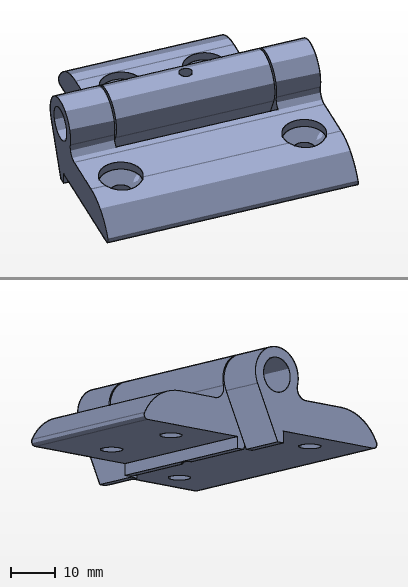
import cadquery as cq
import math


WIDE_LENGTH = 60.0
NARROW_LENGTH = 38.0
POCKET_LENGTH = 38.8

BARREL_RADIUS = 6.4
BORE_DIAMETER = 8.0
PLATE_BOTTOM = -12.65
PLATE_THICKNESS = 8.0
PLATE_TOP = PLATE_BOTTOM + PLATE_THICKNESS
FOOT_HEIGHT = 2.7
FOOT_BOTTOM = PLATE_BOTTOM - FOOT_HEIGHT
FOOT_SIDE = 2.0
TIP_OFFSET = 0.25
NECK_RADIUS = 2.5
EDGE_START = 19.2
EDGE_RADIUS = 12.0
RIM_RADIUS = 1.0

WALL_BOTTOM_X = 4.85
WALL_TOP_X = 7.25
WALL_TOP_Z = -4.25

SCREW_DIAMETER = 5.0
HEAD_DIAMETER = 10.0
HEAD_DEPTH = 2.0
WIDE_SCREW_X = 17.0
WIDE_SCREW_SPACING = 44.0
NARROW_SCREW_X = 14.0
NARROW_SCREW_SPACING = 20.0
LOCK_DIAMETER = 3.0

CLEAR = 0.6


def point_at(center, radius, angle):
    """Point on a circle in the XZ section, angle in radians from +X."""
    return (center[0] + radius * math.cos(angle), center[1] + radius * math.sin(angle))


def leaf_blank(length):
    """Leaf with a full-length knuckle and its plate towards +X, centred on Y."""
    axis = (0, 0)

    tip = (TIP_OFFSET, FOOT_BOTTOM)
    tip_angle = math.atan2(tip[1], tip[0])
    tangent_angle = tip_angle - math.acos(BARREL_RADIUS / math.hypot(*tip))

    neck_z = PLATE_TOP + NECK_RADIUS
    neck_x = math.sqrt((BARREL_RADIUS + NECK_RADIUS) ** 2 - neck_z ** 2)
    neck = (neck_x, neck_z)
    neck_angle = math.atan2(neck_z, neck_x)
    neck_mid_angle = ((neck_angle - math.pi) - math.pi / 2) / 2

    edge = (EDGE_START, PLATE_TOP - EDGE_RADIUS)
    rim_rise = PLATE_BOTTOM + RIM_RADIUS - edge[1]
    rim_angle = math.asin(rim_rise / (EDGE_RADIUS - RIM_RADIUS))
    rim = point_at(edge, EDGE_RADIUS - RIM_RADIUS, rim_angle)

    return (
        cq.Workplane("XZ")
        .moveTo(*tip)
        .lineTo(*point_at(axis, BARREL_RADIUS, tangent_angle))
        .threePointArc((0, BARREL_RADIUS), point_at(axis, BARREL_RADIUS, neck_angle))
        .threePointArc(point_at(neck, NECK_RADIUS, neck_mid_angle), (neck_x, PLATE_TOP))
        .lineTo(EDGE_START, PLATE_TOP)
        .threePointArc(
            point_at(edge, EDGE_RADIUS, (rim_angle + math.pi / 2) / 2),
            point_at(edge, EDGE_RADIUS, rim_angle),
        )
        .threePointArc(
            point_at(rim, RIM_RADIUS, (rim_angle - math.pi / 2) / 2),
            (rim[0], PLATE_BOTTOM),
        )
        .lineTo(FOOT_SIDE, PLATE_BOTTOM)
        .lineTo(FOOT_SIDE, FOOT_BOTTOM)
        .close()
        .extrude(length / 2, both=True)
    )


def bore(length):
    """Cutter for the pin bore."""
    return cq.Workplane("XZ").circle(BORE_DIAMETER / 2).extrude(length / 2 + CLEAR, both=True)


def knuckle_pocket():
    """Cutter that opens the middle of the wide leaf for the other knuckle."""
    far_side = -BARREL_RADIUS - CLEAR
    return (
        cq.Workplane("XZ")
        .moveTo(far_side, FOOT_BOTTOM - CLEAR)
        .lineTo(WALL_BOTTOM_X, FOOT_BOTTOM - CLEAR)
        .lineTo(WALL_BOTTOM_X, PLATE_BOTTOM)
        .lineTo(WALL_TOP_X, WALL_TOP_Z)
        .lineTo(WALL_TOP_X, BARREL_RADIUS + CLEAR)
        .lineTo(far_side, BARREL_RADIUS + CLEAR)
        .close()
        .extrude(POCKET_LENGTH / 2, both=True)
    )


def screw_hole(x, y):
    """Cutter for a screw hole with a conical seat below a straight recess."""
    screw_radius = SCREW_DIAMETER / 2
    head_radius = HEAD_DIAMETER / 2
    seat_top = PLATE_TOP - HEAD_DEPTH
    seat_bottom = seat_top - (head_radius - screw_radius)
    return (
        cq.Workplane("XZ")
        .moveTo(0, PLATE_BOTTOM - CLEAR)
        .lineTo(screw_radius, PLATE_BOTTOM - CLEAR)
        .lineTo(screw_radius, seat_bottom)
        .lineTo(head_radius, seat_top)
        .lineTo(head_radius, PLATE_TOP + CLEAR)
        .lineTo(0, PLATE_TOP + CLEAR)
        .close()
        .revolve(360, (0, 0, 0), (0, 1, 0))
        .translate((x, y, 0))
    )


def drill_screw_holes(leaf, x, spacing):
    """Cut a pair of screw holes, symmetric about Y = 0."""
    for y in (-spacing / 2, spacing / 2):
        leaf = leaf.cut(screw_hole(x, y))
    return leaf


def wide_leaf():
    """Leaf towards +X with a knuckle at each end."""
    leaf = leaf_blank(WIDE_LENGTH).cut(bore(WIDE_LENGTH)).cut(knuckle_pocket())
    return drill_screw_holes(leaf, WIDE_SCREW_X, WIDE_SCREW_SPACING)


def narrow_leaf():
    """Leaf towards -X with one middle knuckle and a cross hole through it."""
    leaf = leaf_blank(NARROW_LENGTH).mirror("YZ").cut(bore(NARROW_LENGTH))
    leaf = drill_screw_holes(leaf, -NARROW_SCREW_X, NARROW_SCREW_SPACING)
    lock_reach = BARREL_RADIUS - FOOT_BOTTOM
    lock_hole = cq.Workplane("XY").circle(LOCK_DIAMETER / 2).extrude(lock_reach, both=True)
    return leaf.cut(lock_hole)


right_leaf = wide_leaf()
left_leaf = narrow_leaf()

result = cq.Compound.makeCompound([right_leaf.solids().val(), left_leaf.solids().val()])